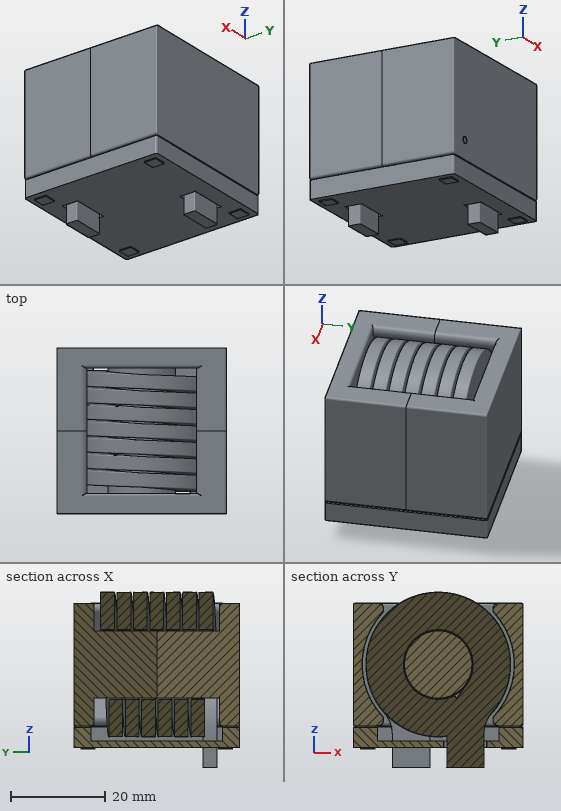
import cadquery as cq
import math

total_height = 37.2
width = 36.0
depth = 35.2

base_bottom = 4.25
base_top = 8.6
base_corner_radius = 0.5
foot_size = 3.0
foot_height = 0.25
foot_x = 14.95
foot_y = 14.6
pocket_floor = 5.65

spacer_thickness = 0.22

core_top = 34.9
core_edge_radius = 0.5
core_face_radius = 0.2
post_diameter = 14.4
window_radius = 16.1
window_half_depth = 13.28
window_side_fillet = 1.3
window_end_fillet = 0.65

dot_diameter = 1.53
dot_depth = 0.1
dot_x = -13.2
dot_z = 13.17

wire_width = 8.0
wire_thickness = 3.0
wire_corner_radius = 0.22
coil_turns = 6.5
lead_x = 5.73
lead_y = 11.3
lead_clearance = 0.52

core_bottom = base_top + spacer_thickness
core_height = core_top - core_bottom
core_half_height = core_height / 2
axis_z = core_bottom + core_half_height
coil_outer_radius = total_height - axis_z
coil_mean_radius = coil_outer_radius - wire_width / 2
coil_length = 2 * lead_y
coil_pitch = coil_length / coil_turns

bend_angle = math.acos(1 - (coil_mean_radius - lead_x) / (2 * coil_mean_radius))
bend_drop = 2 * coil_mean_radius * math.sin(bend_angle)
lead_straight_top = axis_z - bend_drop

lip_z = core_half_height - window_side_fillet
lip_x = math.sqrt((window_radius + window_side_fillet) ** 2 - lip_z**2)
window_half_width = lip_x - window_side_fillet
pocket_half_width = lip_x
pocket_half_depth = window_half_depth + window_end_fillet


def round_window():
    """Bore along Y that opens through the top and bottom of the core between rounded lips."""
    tangent_scale = window_radius / (window_radius + window_side_fillet)
    tangent_x = lip_x * tangent_scale
    tangent_z = lip_z * tangent_scale
    return (
        cq.Workplane("XZ", origin=(0, 0, axis_z))
        .moveTo(-lip_x, core_half_height)
        .lineTo(lip_x, core_half_height)
        .threePointArc((window_half_width, lip_z), (tangent_x, tangent_z))
        .threePointArc((window_radius, 0), (tangent_x, -tangent_z))
        .threePointArc((window_half_width, -lip_z), (lip_x, -core_half_height))
        .lineTo(-lip_x, -core_half_height)
        .threePointArc((-window_half_width, -lip_z), (-tangent_x, -tangent_z))
        .threePointArc((-window_radius, 0), (-tangent_x, tangent_z))
        .threePointArc((-window_half_width, lip_z), (-lip_x, core_half_height))
        .close()
        .extrude(depth / 2, both=True)
    )


def window_depth_limit():
    """Slab along X that limits the window in Y and flares out at the top and bottom."""
    flare_y = window_half_depth + window_end_fillet
    flare_z = core_half_height - window_end_fillet
    return (
        cq.Workplane("YZ", origin=(0, 0, axis_z))
        .moveTo(-flare_y, core_half_height)
        .lineTo(flare_y, core_half_height)
        .radiusArc((window_half_depth, flare_z), -window_end_fillet)
        .lineTo(window_half_depth, -flare_z)
        .radiusArc((flare_y, -core_half_height), -window_end_fillet)
        .lineTo(-flare_y, -core_half_height)
        .radiusArc((-window_half_depth, -flare_z), -window_end_fillet)
        .lineTo(-window_half_depth, flare_z)
        .radiusArc((-flare_y, core_half_height), -window_end_fillet)
        .close()
        .extrude(width / 2, both=True)
    )


def make_core_half(side):
    """Core half with side = -1 for the front half and +1 for the rear half."""
    block = (
        cq.Workplane("XY", origin=(0, 0, axis_z))
        .box(width, depth, core_height)
        .edges("|Y")
        .fillet(core_edge_radius)
        .faces("<Y or >Y")
        .edges()
        .fillet(core_face_radius)
    )
    post = (
        cq.Workplane("XZ", origin=(0, 0, axis_z))
        .circle(post_diameter / 2)
        .extrude(depth / 2 - core_edge_radius, both=True)
    )
    window = round_window().intersect(window_depth_limit())
    half_space = cq.Workplane("XY", origin=(0, side * depth / 4, axis_z)).box(width, depth / 2, core_height)
    return block.cut(window).union(post).intersect(half_space)


def marking_dot():
    """Disc that is sunk into the lower left of the front face."""
    return (
        cq.Workplane("XZ", origin=(dot_x, -depth / 2, dot_z))
        .circle(dot_diameter / 2)
        .extrude(-dot_depth)
    )


def wire_sketch():
    """Rounded cross-section of the flat wire, wide along its first axis."""
    return cq.Sketch().rect(wire_width, wire_thickness).vertices().fillet(wire_corner_radius)


def make_winding():
    """Helix along Y from the left side at the rear, over the top, to the right side at the front."""
    path = cq.Wire.makeHelix(coil_pitch, coil_length, coil_mean_radius, lefthand=True)
    helix = (
        cq.Workplane("XZ", origin=(coil_mean_radius, 0, 0))
        .placeSketch(wire_sketch())
        .sweep(cq.Workplane(path), isFrenet=True)
    )
    placement = cq.Plane(origin=(0, lead_y, axis_z), xDir=(-1, 0, 0), normal=(0, -1, 0))
    return cq.Workplane(helix.val().moved(cq.Location(placement)))


def make_rear_lead():
    """S-shaped lead at the left rear, from the end of the winding down through the base."""
    half_bend_x = (coil_mean_radius + lead_x) / 2
    half_bend_z = axis_z - bend_drop / 2
    mid_offset_x = coil_mean_radius * math.cos(bend_angle / 2)
    mid_offset_z = coil_mean_radius * math.sin(bend_angle / 2)
    path = (
        cq.Workplane("XZ", origin=(0, lead_y, 0))
        .moveTo(-coil_mean_radius, axis_z)
        .threePointArc((-mid_offset_x, axis_z - mid_offset_z), (-half_bend_x, half_bend_z))
        .threePointArc(
            (mid_offset_x - coil_mean_radius - lead_x, lead_straight_top + mid_offset_z),
            (-lead_x, lead_straight_top),
        )
        .lineTo(-lead_x, 0)
    )
    return (
        cq.Workplane("XY", origin=(-coil_mean_radius, lead_y, axis_z))
        .placeSketch(wire_sketch())
        .sweep(path)
    )


def make_coil():
    """Winding and its two leads in one solid; the front lead is the rear one turned half round."""
    rear_lead = make_rear_lead()
    front_lead = rear_lead.rotate((0, 0, 0), (0, 0, 1), 180)
    return make_winding().union(rear_lead).union(front_lead)


def coil_opening(bottom, top):
    """Block between two heights that clears the part of the coil hanging below the core."""
    return (
        cq.Workplane("XY", origin=(0, 0, bottom))
        .rect(2 * pocket_half_width, 2 * pocket_half_depth)
        .extrude(top - bottom)
    )


def make_base():
    """Plate with a pocket for the coil, two lead openings and four square feet."""
    plate = (
        cq.Workplane("XY", origin=(0, 0, base_bottom))
        .rect(width, depth)
        .extrude(base_top - base_bottom)
        .edges("|Z")
        .fillet(base_corner_radius)
    )
    pocket = coil_opening(pocket_floor, base_top)
    lead_openings = (
        cq.Workplane("XY", origin=(0, 0, base_bottom))
        .pushPoints([(-lead_x, lead_y), (lead_x, -lead_y)])
        .rect(wire_width + 2 * lead_clearance, wire_thickness + 2 * lead_clearance)
        .extrude(base_top - base_bottom)
    )
    feet = (
        cq.Workplane("XY", origin=(0, 0, base_bottom))
        .rect(2 * foot_x, 2 * foot_y, forConstruction=True)
        .vertices()
        .rect(foot_size, foot_size)
        .extrude(-foot_height)
    )
    return plate.cut(pocket).cut(lead_openings).union(feet)


def make_spacer():
    """Sheet frame that covers the flat underside of the core around the coil."""
    sheet = (
        cq.Workplane("XY", origin=(0, 0, base_top))
        .rect(width - 2 * core_edge_radius, depth - 2 * core_face_radius)
        .extrude(spacer_thickness)
    )
    return sheet.cut(coil_opening(base_top, core_bottom))


front_core = make_core_half(-1).cut(marking_dot())
rear_core = make_core_half(1)
coil = make_coil()
base = make_base()
spacer = make_spacer()

result = cq.Compound.makeCompound(
    [
        *front_core.solids().vals(),
        *rear_core.solids().vals(),
        *coil.solids().vals(),
        *base.solids().vals(),
        *spacer.solids().vals(),
    ]
)